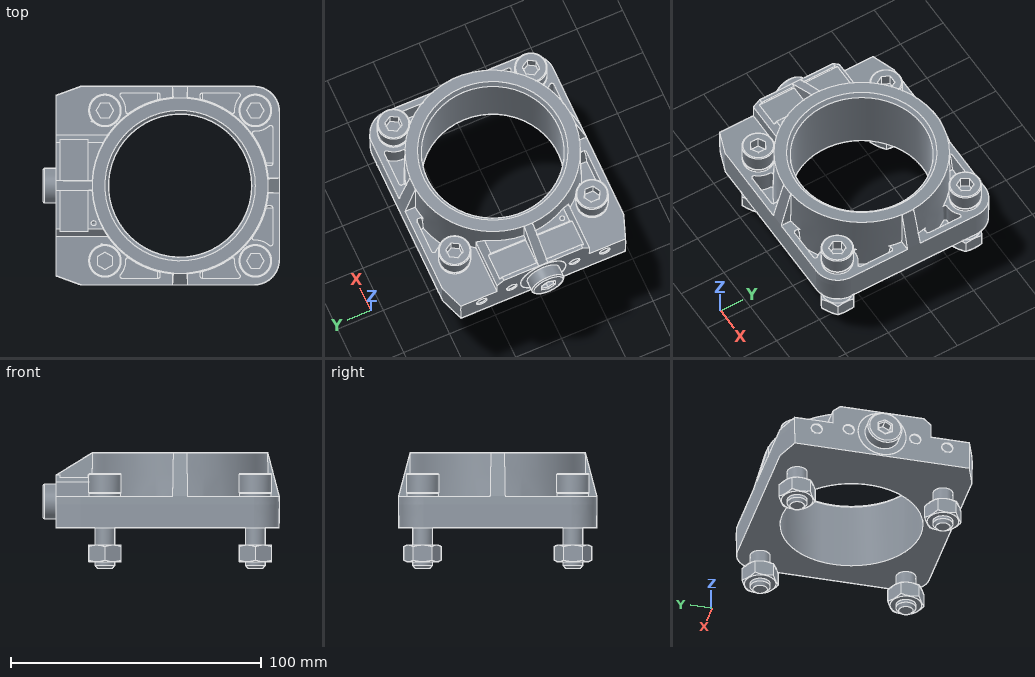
import cadquery as cq
import math

DRAFT_ANGLE = 1.0
TAN_DRAFT = math.tan(math.radians(DRAFT_ANGLE))

PLATE_HEIGHT = 12.5
PARTING_HEIGHT = 9.1
PARTING_HALF_WIDTH = 39.67
PLATE_HALF_WIDTH = PARTING_HALF_WIDTH - PARTING_HEIGHT * TAN_DRAFT
PLATE_CORNER_RADIUS = 10.0
PORT_FACE_OVERRUN = 1.0
PORT_FACE_X = -49.6
BEVEL_LENGTH = 10.0
BEVEL_ANGLE = 20.0

RING_TOP = 30.0
RING_TOP_RADIUS = 35.0
RING_HEIGHT = RING_TOP - PLATE_HEIGHT
RING_BASE_RADIUS = RING_TOP_RADIUS + RING_HEIGHT * TAN_DRAFT
BORE_DIAMETER = 57.0
BORE_CHAMFER = 1.5

RIB_WIDTH = 6.0
PORT_RIB_WIDTH = 4.0
RIB_ROOT_X = RING_TOP_RADIUS - 1.0

BLOCK_TOP = 21.0
BLOCK_HALF_WIDTH = 20.2
BLOCK_CHAMFER_Y = 3.0
BLOCK_CHAMFER_Z = 2.7
LABEL_FLOOR = 20.0
LABEL_START_X = -48.0
LABEL_END_X = -36.8
DIMPLE_DIAMETER = 2.0
DIMPLE_X = -34.5
DIMPLE_Y = -15.0

PORT_Z = 10.5
PLUG_DIAMETER = 14.0
PLUG_END_X = -54.73
PLUG_LENGTH = PORT_FACE_X - PLUG_END_X
PLUG_CHAMFER = 0.6
PLUG_SOCKET_FLATS = 5.0
PLUG_SOCKET_MOUTH_FLATS = 6.0
PLUG_SOCKET_MOUTH_DEPTH = 0.5
PLUG_SOCKET_DEPTH = 4.0
SPOTFACE_DIAMETER = 19.7
SPOTFACE_DEPTH = 0.1
MARK_DIAMETER = 4.5
MARK_DEPTH = 0.6
INNER_MARK_Y = 13.7
OUTER_MARK_Y = 26.85
OUTER_MARK_Z = 8.6

POCKET_FLOOR = 3.0
POCKET_OUTER = 37.0
POCKET_END = 8.0
POCKET_END_SLOPE = 6.0
BOSS_RADIUS = 8.3
POCKET_FILLET = 0.9

SCREW_OFFSET = 30.0
SCREW_DIAMETER = 8.0
SCREW_LENGTH = 30.0
SCREW_TIP_CHAMFER_RADIAL = 1.1
SCREW_TIP_CHAMFER_AXIAL = 1.35
HEAD_DIAMETER = 13.0
HEAD_HEIGHT = 8.0
HEAD_CHAMFER = 0.4
HEAD_SOCKET_FLATS = 6.0
HEAD_SOCKET_DEPTH = 5.0
WASHER_THICKNESS = 1.2
WASHER_DIAMETER = 12.6
HEAD_SEAT = PLATE_HEIGHT + WASHER_THICKNESS
NUT_FLATS = 13.0
NUT_TOP = -6.8
NUT_HEIGHT = 6.8
NUT_END_DIAMETER = 12.6
NUT_CHAMFER_ANGLE = 30.0

HEX_CORNER_RATIO = 2 / math.sqrt(3)
HEX_HALF_PITCH = 30.0


def hex_prism(flats, height, angle=0.0):
    """Hexagonal prism on Z = 0; at angle 0 two corners lie on the X axis."""
    prism = cq.Workplane("XY").polygon(6, flats * HEX_CORNER_RATIO).extrude(height)
    return prism.rotate((0, 0, 0), (0, 0, 1), angle)


def plate_outline():
    """Flange outline at Z = 0, run past the port face so that this face can be cut flat."""
    half = PLATE_HALF_WIDTH
    arc_start = half - PLATE_CORNER_RADIUS
    arc_mid = arc_start + PLATE_CORNER_RADIUS * math.sqrt(0.5)
    bevel_start = PORT_FACE_X + BEVEL_LENGTH
    left = PORT_FACE_X - PORT_FACE_OVERRUN
    left_half = half - (BEVEL_LENGTH + PORT_FACE_OVERRUN) * math.tan(math.radians(BEVEL_ANGLE))
    return (
        cq.Workplane("XY")
        .moveTo(left, -left_half)
        .lineTo(bevel_start, -half)
        .lineTo(arc_start, -half)
        .threePointArc((arc_mid, -arc_mid), (half, -arc_start))
        .lineTo(half, arc_start)
        .threePointArc((arc_mid, arc_mid), (arc_start, half))
        .lineTo(bevel_start, half)
        .lineTo(left, left_half)
        .close()
    )


def plate():
    """Flange with draft running both ways from the parting line and a flat port face."""
    lower = plate_outline().extrude(PARTING_HEIGHT, taper=-DRAFT_ANGLE)
    upper_height = PLATE_HEIGHT - PARTING_HEIGHT
    whole = lower.faces(">Z").wires().toPending().extrude(upper_height, taper=DRAFT_ANGLE)
    length = PARTING_HALF_WIDTH - PORT_FACE_X
    trim = (
        cq.Workplane("XY")
        .box(length, 2 * PARTING_HALF_WIDTH, PLATE_HEIGHT, centered=(False, True, False))
        .translate((PORT_FACE_X, 0, 0))
    )
    return whole.intersect(trim)


def ring():
    """Solid ring body, drafted to narrow towards its top."""
    return (
        cq.Workplane("XY", origin=(0, 0, PLATE_HEIGHT))
        .circle(RING_BASE_RADIUS)
        .extrude(RING_HEIGHT, taper=DRAFT_ANGLE)
    )


def bore():
    """Through bore with a chamfer at its top edge."""
    radius = BORE_DIAMETER / 2
    profile = [
        (0, 0),
        (radius, 0),
        (radius, RING_TOP - BORE_CHAMFER),
        (radius + BORE_CHAMFER, RING_TOP),
        (0, RING_TOP),
    ]
    return cq.Workplane("XZ").polyline(profile).close().revolve(360, (0, 0, 0), (0, 1, 0))


def rib(foot, base_z, width):
    """Drafted rib along +X: it slopes from the ring's top edge to the given foot points.

    The foot points run from the base outwards and up; the width holds at the base.
    """
    side = [(RIB_ROOT_X, base_z), *foot, (RING_TOP_RADIUS, RING_TOP), (RIB_ROOT_X, RING_TOP)]
    blank = cq.Workplane("XZ").polyline(side).close().extrude(width, both=True)
    foot_x = foot[-1][0]
    drafted = (
        cq.Workplane("XY", origin=(foot_x / 2, 0, base_z))
        .rect(2 * foot_x, width)
        .extrude(RING_TOP - base_z, taper=DRAFT_ANGLE)
    )
    return blank.intersect(drafted)


def plate_ribs():
    """Three ribs on the +X, +Y and -Y sides, from the middle of the plate to its top edge."""
    foot_x = PARTING_HALF_WIDTH - (PLATE_HEIGHT - PARTING_HEIGHT) * TAN_DRAFT
    single = rib([(foot_x, PLATE_HEIGHT)], PLATE_HEIGHT, RIB_WIDTH)
    ribs = single
    for angle in (90, -90):
        ribs = ribs.union(single.rotate((0, 0, 0), (0, 0, 1), angle))
    return ribs


def port_rib():
    """Rib on the port block, standing on the floor of the label recess."""
    reach = -PORT_FACE_X
    single = rib([(reach, LABEL_FLOOR), (reach, BLOCK_TOP)], LABEL_FLOOR, PORT_RIB_WIDTH)
    return single.rotate((0, 0, 0), (0, 0, 1), 180)


def port_block():
    """Block with chamfered shoulders, label recess and dimple, running into the ring."""
    flat_half = BLOCK_HALF_WIDTH - BLOCK_CHAMFER_Y
    shoulder_z = BLOCK_TOP - BLOCK_CHAMFER_Z
    section = [
        (-BLOCK_HALF_WIDTH, PLATE_HEIGHT),
        (BLOCK_HALF_WIDTH, PLATE_HEIGHT),
        (BLOCK_HALF_WIDTH, shoulder_z),
        (flat_half, BLOCK_TOP),
        (-flat_half, BLOCK_TOP),
        (-BLOCK_HALF_WIDTH, shoulder_z),
    ]
    block = cq.Workplane("YZ", origin=(PORT_FACE_X, 0, 0)).polyline(section).close().extrude(-PORT_FACE_X)
    recess_length = LABEL_END_X - LABEL_START_X
    recess_depth = BLOCK_TOP - LABEL_FLOOR
    recess = (
        cq.Workplane("XY")
        .box(recess_length, 2 * BLOCK_HALF_WIDTH, recess_depth, centered=(False, True, False))
        .translate((LABEL_START_X, 0, LABEL_FLOOR))
    )
    dimple_radius = DIMPLE_DIAMETER / 2
    dimple = cq.Workplane(
        cq.Solid.makeCone(
            dimple_radius, 0, dimple_radius, pnt=(DIMPLE_X, DIMPLE_Y, BLOCK_TOP), dir=(0, 0, -1)
        )
    )
    return block.cut(recess).cut(dimple)


def face_cylinder(y, z, diameter, depth):
    """Cylinder sunk from the port face into the body."""
    return cq.Workplane("YZ", origin=(PORT_FACE_X, y, z)).circle(diameter / 2).extrude(depth)


def port_face_marks():
    """Shallow spotface around the plug and four round blind marks beside it."""
    marks = face_cylinder(0, PORT_Z, SPOTFACE_DIAMETER, SPOTFACE_DEPTH)
    for side in (-1, 1):
        marks = marks.union(face_cylinder(side * INNER_MARK_Y, PORT_Z, MARK_DIAMETER, MARK_DEPTH))
        marks = marks.union(face_cylinder(side * OUTER_MARK_Y, OUTER_MARK_Z, MARK_DIAMETER, MARK_DEPTH))
    return marks


def plug():
    """Screw plug along X with a chamfered end and a hexagon socket flared at its mouth."""
    body = (
        cq.Workplane("XY")
        .circle(PLUG_DIAMETER / 2)
        .extrude(PLUG_LENGTH + SPOTFACE_DEPTH)
        .faces("<Z")
        .chamfer(PLUG_CHAMFER)
    )
    socket = hex_prism(PLUG_SOCKET_FLATS, PLUG_SOCKET_DEPTH)
    mouth = (
        cq.Workplane("XY")
        .polygon(6, PLUG_SOCKET_MOUTH_FLATS * HEX_CORNER_RATIO)
        .workplane(offset=PLUG_SOCKET_MOUTH_DEPTH)
        .polygon(6, PLUG_SOCKET_FLATS * HEX_CORNER_RATIO)
        .loft(ruled=True)
    )
    upright = body.cut(socket).cut(mouth)
    return upright.rotate((0, 0, 0), (0, 1, 0), 90).translate((PLUG_END_X, 0, PORT_Z))


def pocket():
    """Pocket on the +Y side, right of the rib, with a sloped wall at the rib end."""
    depth = PLATE_HEIGHT - POCKET_FLOOR
    inner_y = SCREW_OFFSET - BOSS_RADIUS
    boss_edge = SCREW_OFFSET - math.sqrt(BOSS_RADIUS**2 - (POCKET_OUTER - SCREW_OFFSET) ** 2)
    blank = (
        cq.Workplane("XY")
        .box(boss_edge - POCKET_END, POCKET_OUTER - inner_y, depth, centered=False)
        .translate((POCKET_END, inner_y, POCKET_FLOOR))
    )
    floor = cq.Workplane("XY", origin=(0, 0, POCKET_FLOOR))
    boss = floor.center(SCREW_OFFSET, SCREW_OFFSET).circle(BOSS_RADIUS).extrude(depth)
    ring_wall = floor.circle(RING_BASE_RADIUS).extrude(depth)
    cavity = blank.cut(boss).cut(ring_wall).edges("|Z").fillet(POCKET_FILLET)

    floor_end = POCKET_END + depth * math.tan(math.radians(POCKET_END_SLOPE))
    slope = [(POCKET_END, POCKET_FLOOR), (floor_end, POCKET_FLOOR), (POCKET_END, PLATE_HEIGHT)]
    wedge = cq.Workplane("XZ").polyline(slope).close().extrude(-PARTING_HALF_WIDTH)
    drafted_ring = floor.circle(RING_BASE_RADIUS + depth * TAN_DRAFT).extrude(depth, taper=DRAFT_ANGLE)
    return cavity.cut(wedge).cut(drafted_ring)


def pockets():
    """Six pockets between ring, screw bosses and plate edge; none on the port side."""
    pair = pocket().union(pocket().mirror("YZ"))
    group = pair
    for angle in (-90, 180):
        group = group.union(pair.rotate((0, 0, 0), (0, 0, 1), angle))
    return group


def nut():
    """Hexagon nut on Z = 0 with corners on the Y axis and both ends turned to a cone."""
    corner = NUT_FLATS * HEX_CORNER_RATIO / 2
    face_radius = NUT_END_DIAMETER / 2
    drop = (corner - face_radius) * math.tan(math.radians(NUT_CHAMFER_ANGLE))
    profile = [
        (0, 0),
        (face_radius, 0),
        (corner, drop),
        (corner, NUT_HEIGHT - drop),
        (face_radius, NUT_HEIGHT),
        (0, NUT_HEIGHT),
    ]
    turned = cq.Workplane("XZ").polyline(profile).close().revolve(360, (0, 0, 0), (0, 1, 0))
    return hex_prism(NUT_FLATS, NUT_HEIGHT, HEX_HALF_PITCH).intersect(turned)


def fastener(socket_angle):
    """Socket head screw with washer and nut, on the Z axis."""
    head = (
        cq.Workplane("XY", origin=(0, 0, HEAD_SEAT))
        .circle(HEAD_DIAMETER / 2)
        .extrude(HEAD_HEIGHT)
        .edges()
        .chamfer(HEAD_CHAMFER)
    )
    socket = hex_prism(HEAD_SOCKET_FLATS, HEAD_SOCKET_DEPTH, socket_angle)
    head = head.cut(socket.translate((0, 0, HEAD_SEAT + HEAD_HEIGHT - HEAD_SOCKET_DEPTH)))
    washer = (
        cq.Workplane("XY", origin=(0, 0, PLATE_HEIGHT)).circle(WASHER_DIAMETER / 2).extrude(WASHER_THICKNESS)
    )
    shank = (
        cq.Workplane("XY", origin=(0, 0, HEAD_SEAT))
        .circle(SCREW_DIAMETER / 2)
        .extrude(-SCREW_LENGTH)
        .faces("<Z")
        .chamfer(SCREW_TIP_CHAMFER_AXIAL, SCREW_TIP_CHAMFER_RADIAL)
    )
    placed_nut = nut().translate((0, 0, NUT_TOP - NUT_HEIGHT))
    return shank.union(head).union(washer).union(placed_nut)


def fasteners():
    """Four fasteners; the socket at the (-X, -Y) corner is turned by half a hexagon pitch."""
    group = cq.Workplane("XY")
    for x_side in (-1, 1):
        for y_side in (-1, 1):
            socket_angle = HEX_HALF_PITCH if x_side < 0 and y_side < 0 else 0
            placed = fastener(socket_angle).translate((x_side * SCREW_OFFSET, y_side * SCREW_OFFSET, 0))
            group = group.add(placed)
    return group.combine()


body = plate().union(port_block()).union(ring()).union(plate_ribs()).union(port_rib())
body = body.cut(bore()).cut(pockets()).cut(port_face_marks())
result = body.union(plug()).union(fasteners())